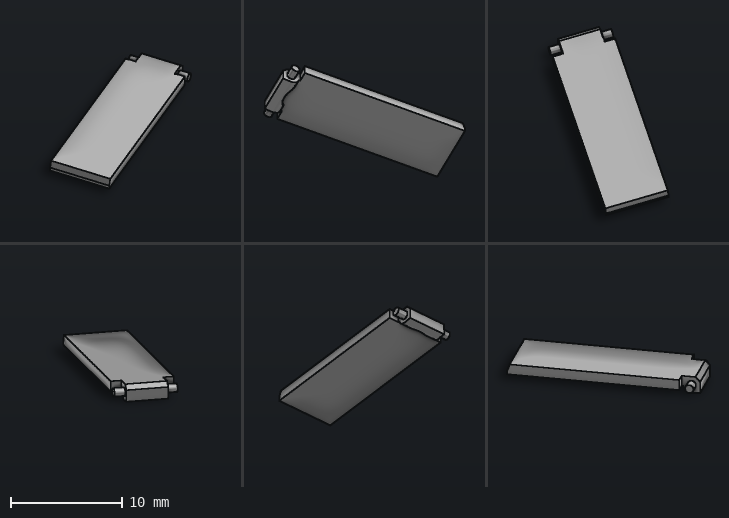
import cadquery as cq
import math

length = 17.6
width = 5.9
overall_height = 1.6
plate_thickness = 1.0

slope_height = 0.63
slope_setback = 0.23

knuckle_width = 3.9
knuckle_radius = overall_height / 2
knuckle_back = 0.8
knuckle_chamfer = 0.44
back_corner_drop = 0.74
shoulder_length = 1.7
pin_diameter = 0.8

scallop_radius = 1.76
scallop_depth_line = 0.25

top = knuckle_radius
underside = top - plate_thickness
pin_y = length - knuckle_back
shoulder_y = length - shoulder_length


def extrude_across(profile, across):
    """Extrude a closed YZ profile symmetrically about the X = 0 plane."""
    return profile.extrude(across / 2, both=True)


def make_plate():
    profile = (
        cq.Workplane("YZ")
        .moveTo(0, underside)
        .lineTo(shoulder_y, underside)
        .lineTo(shoulder_y, top)
        .lineTo(slope_setback, top)
        .lineTo(0, top - slope_height)
        .close()
    )
    return extrude_across(profile, width)


def make_knuckle():
    arc_start_y = pin_y - math.sqrt(knuckle_radius**2 - underside**2)
    mid_offset = knuckle_radius * math.sqrt(0.5)
    profile = (
        cq.Workplane("YZ")
        .moveTo(shoulder_y, top)
        .lineTo(shoulder_y, underside)
        .lineTo(arc_start_y, underside)
        .threePointArc((pin_y - mid_offset, -mid_offset), (pin_y, -knuckle_radius))
        .lineTo(length, -back_corner_drop)
        .lineTo(length, top - knuckle_chamfer)
        .lineTo(length - knuckle_chamfer, top)
        .close()
    )
    return extrude_across(profile, knuckle_width)


def make_pin():
    profile = cq.Workplane("YZ").center(pin_y, 0).circle(pin_diameter / 2)
    return extrude_across(profile, width)


def make_scallop():
    """Upright cylinder that hollows the knuckle below the plate."""
    center_y = pin_y - scallop_depth_line - scallop_radius
    return (
        cq.Workplane("XY", origin=(0, center_y, underside))
        .circle(scallop_radius)
        .extrude(-(knuckle_radius + underside))
    )


result = make_plate().union(make_knuckle()).union(make_pin()).cut(make_scallop())